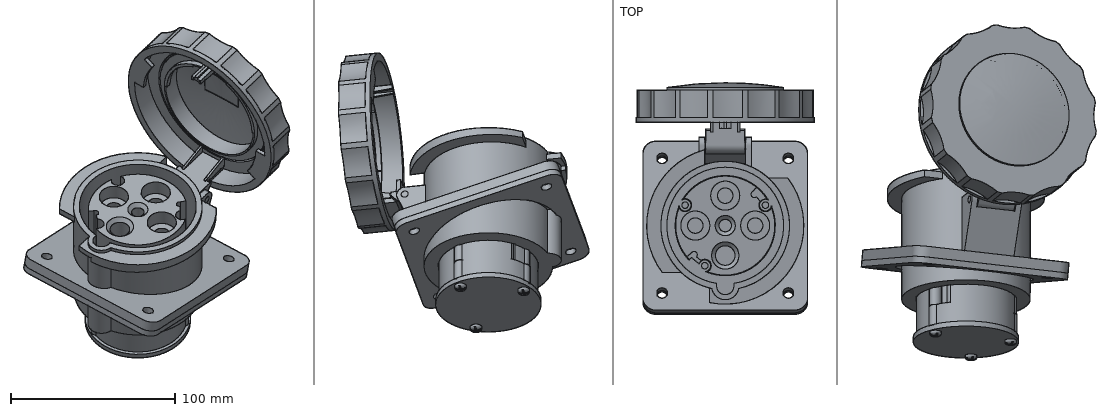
import cadquery as cq
import math


barrel_r = 39.2
bore_r = 35.5
barrel_h = 72.2
key_y = -36.8
key_outer_r = 8.3
key_slot_r = 5.2
shelf_h = 18.0
shelf_bore_r = 30.5

wing_r = 47.8
wing_top = 69.8
wing_max_t = 6.9
wing_ramp_angle = 1.9
left_wing_x = -12.6
left_wing_y = -28.7
right_wing_x = -9.5
right_wing_y = 29.0
thin_wing_t = 3.8

flange_tilt = math.radians(15)
flange_z = 27.5
flange_w = 100.3
flange_l = 106.5
flange_t = 6.5
flange_corner_r = 8.0
gasket_t = 3.8
gasket_opening_r = 42.2
mount_hole_r = 3.2
mount_dx = 76.9
mount_dy = 84.8

insert_r = 30.1
insert_top = 69.1
insert_bottom = -27.2
base_r = 32.1
base_t = 3.2
contact_offset = 18.2
contact_r = 8.8
contact_pin_r = 4.7
contact_depth = 10.0
contact_pin_depth = 28.9
bore_depth = 36.0
earth_r = 8.3
earth_bore_r = 6.0
pilot_r = 6.1
pilot_bore_r = 3.8

screw_circle_r = 27.5
screw_angles = (27, 153, 243)
boss_r = 4.0
boss_top = -10.8
column_r = 3.6
pocket_floor_r = 25.8
pocket_sectors = ((27, 51), (219, 243))
tooth_in_r = 28.1
tooth_start = 223.5
tooth_end = 243
relief_angles = (47, 223)
relief_r = 2.0
relief_circle_r = 26.0
shank_r = 2.0
head_r = 3.6
head_h = 2.5
head_round = 1.8
cross_w = 0.9
cross_depth = 0.9

pin_y = 48.7
pin_z = 47.6
pin_r = 2.2
knuckle_r = 5.0
cheek_in = 12.5
cheek_out = 16.0
cheek_root_y = 34.3
cheek_foot_y = 40.0
cheek_foot_z = 16.6
web_t = 2.7
web_top_z = 42.4

lid_z = 96.3
lid_r = 54.3
lid_face_y = 62.8
lid_rim_t = 3.0
lid_back_y = 82.5
scallop_count = 16
scallop_half_angle = 9.5
scallop_phase = 1.7
scallop_depth = 2.0
crown_r = 35.5
crown_t = 1.6
dome_rise = 2.9
recess_r = 49.5
recess_depth = 13.2
floor_y = lid_face_y + recess_depth
tab_in_r = 42.8
tab_t = 2.5
tab_embed = 1.8
tab_sectors = ((148, 178), (328, 358))
lip_out_r = 34.3
lip_in_r = 33.2
lip_h = 3.2
lip_y = floor_y - lip_h
ledge_r = 32.3
cavity_depth = 20.7
cavity_rise = 2.0
patch_half_w = 12.6
patch_t = 0.4
groove_depth = 2.7
groove_r = 41.0
groove_key_r = 9.4
seal_r = 39.9
seal_key_r = 8.3
catch_half_w = 3.5
catch_slot_half_w = 2.2
catch_nub_half_w = 0.9
catch_tip_y = 59.2
catch_embed = 0.4
catch_root_z = lid_z + lip_out_r - catch_embed
catch_hollow_h = 2.7
catch_h = 4.3
catch_nub_h = 5.6
catch_tip_lift = 1.6

arm_half_w = 11.9
arm_slab_half_w = 8.3
arm_slab_bottom = 47.5
arm_top = pin_z + knuckle_r
arm_shoulder_y = 58.0
arm_nose = (58.8, 51.2)
rib_in = 7.5
rib_out = 9.0
rib_bottom = 50.5
rib_end_y = 56.8
rib_low_top = 53.0
rib_high_top = 57.7


def cylinder(radius, z0, z1, x=0, y=0):
    """Upright cylinder from z0 to z1."""
    return cq.Workplane("XY", origin=(x, y, z0)).circle(radius).extrude(z1 - z0)


def block(x0, x1, y0, y1, z0, z1):
    """Axis-aligned box between two corners."""
    return cq.Workplane("XY").box(x1 - x0, y1 - y0, z1 - z0, centered=False).translate((x0, y0, z0))


def side_profile(points, x0, x1):
    """Prism with a (y, z) outline, running from x0 to x1."""
    return cq.Workplane("YZ", origin=(x0, 0, 0)).polyline(points).close().extrude(x1 - x0)


def cross_rod(radius, half_length):
    """Rod along X on the hinge axis."""
    start = cq.Workplane("YZ", origin=(-half_length, 0, 0))
    return start.center(pin_y, pin_z).circle(radius).extrude(2 * half_length)


def on_circle(radius, degrees):
    angle = math.radians(degrees)
    return radius * math.cos(angle), radius * math.sin(angle)


def ring_sector(inner_r, outer_r, start, end, height):
    """Part of a flat ring between two angles, standing on the XY plane."""
    middle = (start + end) / 2
    return (
        cq.Workplane("XY")
        .moveTo(*on_circle(inner_r, start))
        .lineTo(*on_circle(outer_r, start))
        .threePointArc(on_circle(outer_r, middle), on_circle(outer_r, end))
        .lineTo(*on_circle(inner_r, end))
        .threePointArc(on_circle(inner_r, middle), on_circle(inner_r, start))
        .close()
        .extrude(height)
    )


def flange_plane(depth):
    """Plane parallel to the tilted flange, the given depth below its top face."""
    normal = cq.Vector(0, math.sin(flange_tilt), math.cos(flange_tilt))
    return cq.Plane(origin=cq.Vector(0, 0, flange_z) - normal * depth, xDir=(1, 0, 0), normal=normal)


def flange_slab(depth, thickness):
    """Rounded plate with four mounting holes, parallel to the flange."""
    slab = cq.Workplane(flange_plane(depth)).rect(flange_w, flange_l).extrude(-thickness)
    slab = slab.edges(cq.selectors.ParallelDirSelector(flange_plane(0).zDir)).fillet(flange_corner_r)
    holes = (
        cq.Workplane(flange_plane(depth))
        .rect(mount_dx, mount_dy, forConstruction=True)
        .vertices()
        .circle(mount_hole_r)
        .extrude(-thickness)
    )
    return slab.cut(holes)


def barrel_envelope():
    """Outside of the barrel with its keyway bulge."""
    return cylinder(barrel_r, 0, barrel_h).union(cylinder(key_outer_r, 0, barrel_h, y=key_y))


def bayonet_wings():
    """Two ramped ring segments round the rim."""
    ring = cylinder(wing_r, wing_top - wing_max_t, wing_top)
    rise = 2 * wing_r * math.tan(math.radians(wing_ramp_angle))
    low = wing_top - wing_max_t
    right_ramp = side_profile([(-wing_r, low), (wing_r, low), (wing_r, low + rise)], -wing_r, wing_r)
    left_ramp = right_ramp.mirror("XZ")
    left = ring.intersect(block(-wing_r, left_wing_x, left_wing_y, wing_r, low, wing_top)).cut(left_ramp)
    right = ring.intersect(block(right_wing_x, wing_r, -wing_r, right_wing_y, low, wing_top)).cut(right_ramp)
    lead_in = block(right_wing_x, 0, -wing_r, 0, low, wing_top - thin_wing_t)
    return left.union(right.cut(lead_in))


def hinge_bracket():
    """Two cheeks that carry the pin, with a sloping web between their outer edges."""
    dy = pin_y - cheek_foot_y
    dz = pin_z - cheek_foot_z
    slope = math.atan2(dz, dy) - math.asin(knuckle_r / math.hypot(dy, dz))
    tangent = (pin_y + knuckle_r * math.sin(slope), pin_z - knuckle_r * math.cos(slope))
    arc_middle = (pin_y + knuckle_r * math.cos(slope / 2), pin_z + knuckle_r * math.sin(slope / 2))
    web_top_y = cheek_foot_y + (web_top_z - cheek_foot_z) / math.tan(slope)
    bracket = side_profile(
        [
            (web_top_y - web_t, web_top_z),
            (web_top_y, web_top_z),
            (cheek_foot_y, cheek_foot_z),
            (cheek_foot_y - web_t, cheek_foot_z),
        ],
        -cheek_in,
        cheek_in,
    )
    for x0 in (-cheek_out, cheek_in):
        cheek = (
            cq.Workplane("YZ", origin=(x0, 0, 0))
            .moveTo(cheek_root_y, pin_z + knuckle_r)
            .lineTo(pin_y, pin_z + knuckle_r)
            .threePointArc(arc_middle, tangent)
            .lineTo(cheek_foot_y, cheek_foot_z)
            .lineTo(cheek_root_y, cheek_foot_z)
            .close()
            .extrude(cheek_out - cheek_in)
        )
        bracket = bracket.union(cheek)
    return bracket.cut(make_pin())


def make_housing():
    """Barrel with flange, wings, hinge bracket, and screw columns below its floor ring."""
    body = barrel_envelope().union(flange_slab(0, flange_t)).union(bayonet_wings()).union(hinge_bracket())
    body = body.cut(cylinder(bore_r, shelf_h, barrel_h)).cut(cylinder(shelf_bore_r, 0, shelf_h))
    slot = block(-key_slot_r, key_slot_r, key_y, 0, shelf_h, barrel_h)
    slot = slot.union(cylinder(key_slot_r, shelf_h, barrel_h, y=key_y))
    body = body.cut(slot)
    tooth = ring_sector(tooth_in_r, insert_r, tooth_start, tooth_end, shelf_h - boss_top)
    tooth_root = ring_sector(tooth_in_r, bore_r, tooth_start, tooth_end, shelf_h)
    body = body.union(tooth.translate((0, 0, boss_top))).union(tooth_root)
    for angle in screw_angles:
        x, y = on_circle(screw_circle_r, angle)
        body = body.union(cylinder(column_r, boss_top, shelf_h, x, y))
        body = body.cut(cylinder(shank_r, boss_top, shelf_h, x, y))
    return body


def make_gasket():
    """Sheet under the flange, cut clear of the barrel."""
    opening = cq.Workplane(flange_plane(flange_t)).circle(gasket_opening_r).extrude(-gasket_t)
    return flange_slab(flange_t, gasket_t).cut(opening).cut(barrel_envelope())


def countersunk(x, y, top_r, hole_r, depth):
    """Hole with a 45 degree mouth in the insert's top face."""
    cone_h = top_r - hole_r
    cone = cq.Workplane(cq.Solid.makeCone(hole_r, top_r, cone_h, pnt=(x, y, insert_top - cone_h)))
    return cone.union(cylinder(hole_r, insert_top - depth, insert_top, x, y))


def make_insert():
    """Contact carrier with a base rim, screw bosses and five contact holes."""
    base = cylinder(base_r, insert_bottom, insert_bottom + base_t)
    body = cylinder(insert_r, insert_bottom, insert_top).union(base)
    for start, end in pocket_sectors:
        pocket = ring_sector(pocket_floor_r, base_r, start, end, insert_top - boss_top)
        body = body.cut(pocket.translate((0, 0, boss_top)))
    for angle in relief_angles:
        x, y = on_circle(relief_circle_r, angle)
        body = body.cut(cylinder(relief_r, boss_top, insert_top, x, y))
    for angle in screw_angles:
        x, y = on_circle(screw_circle_r, angle)
        body = body.cut(cylinder(boss_r, boss_top, insert_top, x, y))
        body = body.union(cylinder(boss_r, insert_bottom, boss_top, x, y))
        body = body.cut(cylinder(shank_r, insert_bottom, boss_top, x, y))
    for x, y in ((-contact_offset, 0), (contact_offset, 0), (0, contact_offset)):
        body = body.cut(cylinder(contact_r, insert_top - contact_depth, insert_top, x, y))
        body = body.cut(cylinder(contact_pin_r, insert_top - contact_pin_depth, insert_top, x, y))
    body = body.cut(countersunk(0, -contact_offset, earth_r, earth_bore_r, bore_depth))
    return body.cut(countersunk(0, 0, pilot_r, pilot_bore_r, bore_depth))


def make_screw(angle):
    """Round-headed cross-slot screw that enters from below."""
    x, y = on_circle(screw_circle_r, angle)
    head_bottom = insert_bottom - head_h
    head = cylinder(head_r, head_bottom, insert_bottom, x, y).faces("<Z").edges().fillet(head_round)
    cross = cq.Workplane("XY", origin=(x, y, head_bottom)).rect(2 * head_r, cross_w).extrude(cross_depth)
    cross = cross.union(cross.rotate((x, y, 0), (x, y, 1), 90))
    return head.cut(cross).union(cylinder(shank_r, insert_bottom, shelf_h, x, y))


def make_pin():
    return cross_rod(pin_r, cheek_out)


def lid_disc(radius, y0, y1, dx=0, dz=0):
    """Disc about the lid axis from y0 to y1."""
    return cq.Workplane("XZ", origin=(dx, y0, lid_z + dz)).circle(radius).extrude(y0 - y1)


def domed_disc(radius, y0, y1, rise):
    """Disc about the lid axis whose far face bulges by the given rise."""
    sphere_r = (radius**2 + rise**2) / (2 * rise)
    middle = (radius / 2, y1 + rise - sphere_r + math.sqrt(sphere_r**2 - radius**2 / 4))
    return (
        cq.Workplane("XY")
        .moveTo(0, y0)
        .lineTo(radius, y0)
        .lineTo(radius, y1)
        .threePointArc(middle, (0, y1 + rise))
        .close()
        .revolve(360, (0, 0), (0, 1))
        .translate((0, 0, lid_z))
    )


def keyed_disc(radius, key_r, y0, y1):
    """Disc with a round bulge at the top that matches the keyway."""
    return lid_disc(radius, y0, y1).union(lid_disc(key_r, y0, y1, dz=-key_y))


def lid_shell():
    """Solid lid body: plain rim, scalloped grip and domed crown."""
    shell = lid_disc(lid_r, lid_face_y, lid_face_y + lid_rim_t)
    grip_y = lid_face_y + lid_rim_t
    grip = lid_disc(lid_r, grip_y, lid_back_y)
    half_angle = math.radians(scallop_half_angle)
    half_chord = lid_r * math.sin(half_angle)
    sag = scallop_depth - lid_r * (1 - math.cos(half_angle))
    scallop_r = (half_chord**2 + sag**2) / (2 * sag)
    for i in range(scallop_count):
        dx, dz = on_circle(lid_r - scallop_depth + scallop_r, 90 - scallop_phase - i * 360 / scallop_count)
        grip = grip.cut(lid_disc(scallop_r, grip_y, lid_back_y, dx, dz))
    return shell.union(grip).union(domed_disc(crown_r, grip_y, lid_back_y + crown_t, dome_rise))


def lid_tab(start, end):
    """Bayonet tab that reaches into the recess behind the lid face."""
    tab = ring_sector(tab_in_r, recess_r + tab_embed, start, end, tab_t)
    return tab.rotate((0, 0, 0), (1, 0, 0), 90).translate((0, lid_face_y + tab_t, lid_z))


def lid_cavity():
    """Domed hollow inside the lip, with a raised label patch and ledges in its upper half."""
    bottom_y = lid_face_y + cavity_depth
    cavity = domed_disc(lip_in_r, lip_y, bottom_y, cavity_rise)
    shallow = domed_disc(lip_in_r, lip_y, bottom_y - patch_t, cavity_rise)
    far_y = bottom_y + cavity_rise
    patch = block(-patch_half_w, patch_half_w, lip_y, far_y, lid_z, lid_z + lip_in_r)
    ledge = lid_disc(lip_in_r, lip_y, floor_y).cut(lid_disc(ledge_r, lip_y, floor_y)).cut(patch)
    ledge = ledge.intersect(block(-lid_r, lid_r, lip_y, floor_y, lid_z, lid_z + lid_r))
    return cavity.cut(patch.cut(shallow)).cut(ledge)


def lid_catch():
    """Hollow tongue above the lip that enters the keyway."""
    root = catch_root_z
    top = root + catch_h
    catch = side_profile(
        [(floor_y, root), (catch_tip_y, root + catch_tip_lift), (catch_tip_y, top), (floor_y, top)],
        -catch_half_w,
        catch_half_w,
    )
    hollow_top = root + catch_hollow_h
    hollow = block(-catch_slot_half_w, catch_slot_half_w, catch_tip_y, lip_y, root, hollow_top)
    nub = block(-catch_nub_half_w, catch_nub_half_w, catch_tip_y, floor_y, hollow_top, root + catch_nub_h)
    return catch.cut(hollow).union(nub)


def lid_arm():
    """Hinge arm: knuckle and shoulder, a narrow slab into the recess, and two side ribs."""
    arm = side_profile(
        [
            (pin_y, arm_top),
            (arm_shoulder_y, arm_top),
            arm_nose,
            (pin_y + knuckle_r * math.sin(math.pi / 4), pin_z - knuckle_r * math.cos(math.pi / 4)),
            (pin_y, pin_z),
        ],
        -arm_half_w,
        arm_half_w,
    )
    arm = arm.union(cross_rod(knuckle_r, arm_half_w))
    slab = block(-arm_slab_half_w, arm_slab_half_w, pin_y + knuckle_r, floor_y, arm_slab_bottom, arm_top)
    arm = arm.union(slab)
    for x0 in (-rib_out, rib_in):
        rib = side_profile(
            [
                (rib_end_y, rib_bottom),
                (rib_end_y, rib_low_top),
                (floor_y, rib_high_top),
                (floor_y, rib_bottom),
            ],
            x0,
            x0 + rib_out - rib_in,
        )
        arm = arm.union(rib)
    return arm.cut(make_pin())


def make_lid():
    """Hollow lid with seal groove, lip, tabs, catch and hinge arm."""
    lid = lid_shell().cut(lid_disc(recess_r, lid_face_y, floor_y))
    lid = lid.union(lid_disc(lip_out_r, lip_y, floor_y))
    groove = keyed_disc(groove_r, groove_key_r, floor_y, floor_y + groove_depth)
    groove = groove.cut(lid_disc(lip_out_r, floor_y, floor_y + groove_depth))
    lid = lid.cut(lid_cavity()).cut(groove)
    for start, end in tab_sectors:
        lid = lid.union(lid_tab(start, end))
    return lid.union(lid_catch()).union(lid_arm()).cut(make_seal())


def make_seal():
    """Flat ring in the groove of the lid, flush with the recess floor."""
    ring = keyed_disc(seal_r, seal_key_r, floor_y, floor_y + groove_depth)
    return ring.cut(lid_disc(lip_out_r, floor_y, floor_y + groove_depth))


housing = make_housing()
gasket = make_gasket()
insert = make_insert()
screws = [make_screw(angle) for angle in screw_angles]
hinge_pin = make_pin()
lid = make_lid()
lid_seal = make_seal()

bodies = [housing, gasket, insert, *screws, hinge_pin, lid, lid_seal]
result = cq.Compound.makeCompound([body.solids().val() for body in bodies])